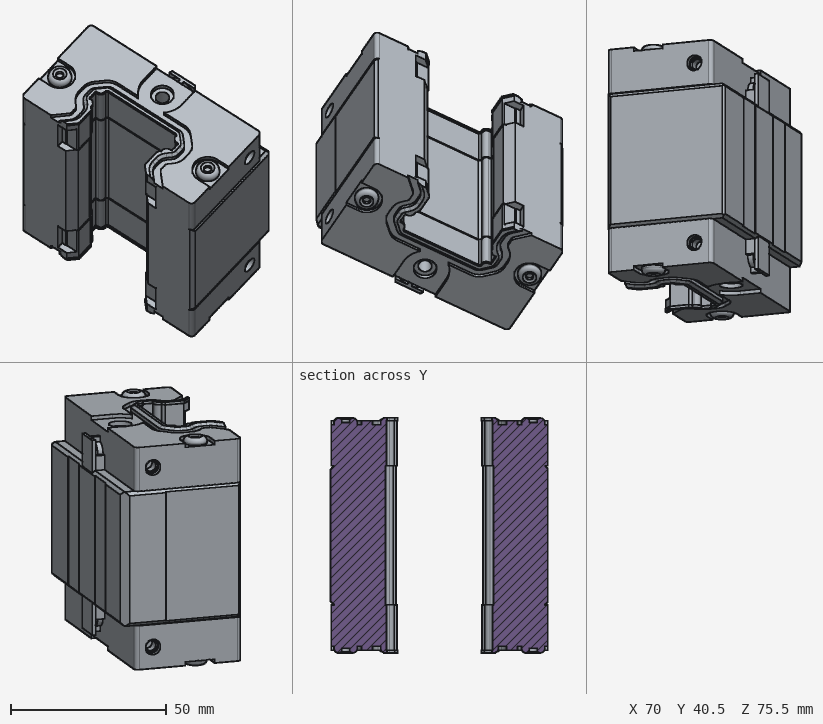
import cadquery as cq
import math


TOTAL_LENGTH = 75.5
TOTAL_WIDTH = 70.0
TOTAL_DEPTH = 40.5
OPEN_END = 4.5

BLOCK_HALF_LENGTH = 22.3
BLOCK_END_CHAMFER = 1.1
OPEN_CORNER_CHAMFER = 1.2
MOUNT_CORNER_CHAMFER = 2.4
PLAIN_CORNER_CHAMFER = 0.8
SIDE_RELIEF = 0.2
PAD_EDGE_Y = 25.7
MOUNT_GROOVE_NEAR = 7.7
MOUNT_GROOVE_FAR = 18.2
MOUNT_GROOVE_DEPTH = 0.2

CAP_WIDTH = 69.45
CAP_DEPTH = 36.1
CAP_TOP = 36.85
CAP_CORNER_RADIUS = 1.35
RECESS_FLOOR = 35.55

OPENING_TOP_Y = 18.35
OPENING_TOP_X = 13.75
BALL_LEVEL_Y = 14.05
GROOVE_X = 16.75
BEAD_RADIUS = 1.9
BEAD_CENTER_X = 16.15
BEAD_CENTER_RISE = 3.6
BEAD_FLANK_RISE = 4.0
LEG_X = 13.4
LEG_TOP_Y = 9.1
LEG_BOTTOM_Y = 2.65
BLOCK_CLEARANCE = 0.5
CAP_CLEARANCE = 0.2

LIP_TOP = (14.3, 19.5)
LIP_SIDE_X = 17.8
LIP_LEG_X = 14.6
LIP_SIDE_BOTTOM_Y = 12.2
LIP_LEG_BOTTOM_Y = 3.1
LIP_CORNER_RADIUS = 1.9
LIP_LEG_RADIUS = 4.9
LIP_BEVEL_WIDTH = 1.1
RECESS_MARGIN = 3.6

PORT_Y = 29.0
PORT_DIAMETER = 4.4
PORT_BORE_DIAMETER = 7.4
PORT_BORE_DEPTH = 1.5
PORT_DEPTH = 9.05
TONGUE_RADIUS = 7.85
SIDE_HOLE_Y = 30.0
SIDE_HOLE_Z = 29.75
SIDE_HOLE_MOUTH = 5.0
SIDE_HOLE_SEAT = 4.4
SIDE_HOLE_DIAMETER = 3.5
SIDE_HOLE_MOUTH_DEPTH = 2.0
SIDE_HOLE_SEAT_DEPTH = 0.45
SIDE_HOLE_DEPTH = 6.05
SCREW_X = 30.05
SCREW_POCKET_RADIUS = 5.0
SCREW_HEAD_DIAMETER = 7.6
SCREW_CROWN_DIAMETER = 4.4
SCREW_SOCKET_DIAMETER = 2.5
SCREW_CONE_DEPTH = 0.45
SCREW_SOCKET_DEPTH = 1.5

POCKET_TOP = 33.9
POCKET_INNER_X = 13.6
POCKET_STEP_START_X = 18.0
POCKET_STEP_END_X = 18.35
POCKET_OUTER_X = 19.85
POCKET_INNER_DEPTH = 2.35
POCKET_OUTER_DEPTH = 2.2

LUG_HALF_WIDTH = 5.1
LUG_CENTER_Z = 27.1
LUG_POST_RADIUS = 3.5
LUG_CONE_Y = 37.9
LUG_FLANGE_Y = 39.1
LUG_BACK_Y = 40.25
LUG_BACK_HALF_WIDTH = 4.7
LUG_RIB_WIDTH = 1.5


def box(x_range, y_range, z_range):
    """Box given by its limits along each axis."""
    size = [high - low for low, high in (x_range, y_range, z_range)]
    corner = (x_range[0], y_range[0], z_range[0])
    return cq.Workplane("XY").box(*size, centered=False).translate(corner)


def opening_wire(z):
    """Rail opening with convex beads that follow the ball grooves of the rail."""
    def upper(point):
        return point[0], BALL_LEVEL_Y + point[1]

    def lower(point):
        return point[0], BALL_LEVEL_Y - point[1]

    diagonal = BEAD_RADIUS * math.sqrt(0.5)
    bead_start = (BEAD_CENTER_X, BEAD_CENTER_RISE - BEAD_RADIUS)
    bead_middle = (BEAD_CENTER_X - diagonal, BEAD_CENTER_RISE - diagonal)
    bead_end = (BEAD_CENTER_X - BEAD_RADIUS, BEAD_CENTER_RISE)
    flank_end = (bead_end[0], BEAD_FLANK_RISE)
    groove = (GROOVE_X, BEAD_CENTER_RISE - BEAD_RADIUS)
    leg_foot = (LEG_X + LEG_BOTTOM_Y + OPEN_END, -OPEN_END)
    leg = [(LEG_X, LEG_BOTTOM_Y), (LEG_X, LEG_TOP_Y)]
    top = (OPENING_TOP_X, OPENING_TOP_Y)
    return (
        cq.Workplane("XY", origin=(0, 0, z))
        .moveTo(0, -OPEN_END)
        .lineTo(*leg_foot)
        .lineTo(*leg[0])
        .lineTo(*leg[1])
        .lineTo(*lower(flank_end))
        .lineTo(*lower(bead_end))
        .threePointArc(lower(bead_middle), lower(bead_start))
        .lineTo(*lower(groove))
        .lineTo(*upper(groove))
        .lineTo(*upper(bead_start))
        .threePointArc(upper(bead_middle), upper(bead_end))
        .lineTo(*upper(flank_end))
        .lineTo(*top)
        .lineTo(0, OPENING_TOP_Y)
        .mirrorY()
    )


def lip_wire(z):
    """Rounded crest line of the seal lip; all of its slanted sides run at 45 degrees."""
    leg_top_y = LIP_SIDE_BOTTOM_Y - (LIP_SIDE_X - LIP_LEG_X)
    half = [
        (LIP_LEG_X + LIP_LEG_BOTTOM_Y + OPEN_END, -OPEN_END),
        (LIP_LEG_X, LIP_LEG_BOTTOM_Y),
        (LIP_LEG_X, leg_top_y),
        (LIP_SIDE_X, LIP_SIDE_BOTTOM_Y),
        (LIP_SIDE_X, LIP_TOP[1] - (LIP_SIDE_X - LIP_TOP[0])),
        LIP_TOP,
    ]
    other_half = [(-x, y) for x, y in reversed(half)]
    prism = cq.Workplane("XY", origin=(0, 0, z)).polyline(half + other_half).close().extrude(-0.75)

    split_y = (leg_top_y + LIP_SIDE_BOTTOM_Y) / 2
    reach = TOTAL_LENGTH
    legs = cq.selectors.BoxSelector((-reach, 0, -reach), (reach, split_y, reach))
    corners = cq.selectors.BoxSelector((-reach, split_y, -reach), (reach, TOTAL_DEPTH, reach))
    prism = prism.edges("|Z").edges(legs).fillet(LIP_LEG_RADIUS)
    prism = prism.edges("|Z").edges(corners).fillet(LIP_CORNER_RADIUS)
    return prism.faces(">Z").wires().toPending()


def corner_wedge(side, face_y, size):
    """Wedge that bevels one long corner of the block, at face_y on the given side."""
    corner_x = side * TOTAL_WIDTH / 2
    into_block = size if face_y == 0 else -size
    return (
        cq.Workplane("XY", origin=(0, 0, -BLOCK_HALF_LENGTH))
        .polyline([(corner_x, face_y), (corner_x - side * size, face_y), (corner_x, face_y + into_block)])
        .close()
        .extrude(2 * BLOCK_HALF_LENGTH)
    )


def steel_block():
    half = TOTAL_WIDTH / 2
    along = (-BLOCK_HALF_LENGTH, BLOCK_HALF_LENGTH)
    block = box((-half, half), (0, TOTAL_DEPTH), along)
    block = block.edges("(|Y or >Y) and (>Z or <Z)").chamfer(BLOCK_END_CHAMFER)
    for side in (-1, 1):
        block = block.cut(corner_wedge(side, 0, OPEN_CORNER_CHAMFER))
    block = block.cut(corner_wedge(-1, TOTAL_DEPTH, MOUNT_CORNER_CHAMFER))
    block = block.cut(corner_wedge(1, TOTAL_DEPTH, PLAIN_CORNER_CHAMFER))
    block = block.cut(box((-half, -half + SIDE_RELIEF), (0, PAD_EDGE_Y), along))
    groove_y = (TOTAL_DEPTH - MOUNT_GROOVE_DEPTH, TOTAL_DEPTH)
    for groove_x in ((MOUNT_GROOVE_NEAR, MOUNT_GROOVE_FAR), (-MOUNT_GROOVE_FAR, -MOUNT_GROOVE_NEAR)):
        block = block.cut(box(groove_x, groove_y, along))
    opening = opening_wire(-BLOCK_HALF_LENGTH).offset2D(BLOCK_CLEARANCE, "intersection")
    return block.cut(opening.extrude(2 * BLOCK_HALF_LENGTH))


def seal_lip():
    """Raised lip standing in the recess, bevelled up to its crest."""
    bevel_height = TOTAL_LENGTH / 2 - CAP_TOP
    bevel_angle = math.degrees(math.atan2(LIP_BEVEL_WIDTH, bevel_height))
    bevel = lip_wire(TOTAL_LENGTH / 2).extrude(-bevel_height, taper=-bevel_angle, combine=False)
    foot_wire = lip_wire(RECESS_FLOOR).offset2D(LIP_BEVEL_WIDTH)
    foot = foot_wire.extrude(CAP_TOP - RECESS_FLOOR, combine=False)
    in_front = box((-TOTAL_WIDTH, TOTAL_WIDTH), (-2 * TOTAL_DEPTH, 0), (0, TOTAL_LENGTH))
    return foot.union(bevel).cut(in_front)


def end_recess():
    """Recess around the lip with a round-ended tongue that reaches the back of the cap."""
    floor = cq.Workplane("XY", origin=(0, 0, RECESS_FLOOR))
    depth = CAP_TOP - RECESS_FLOOR
    around_lip = lip_wire(RECESS_FLOOR).offset2D(RECESS_MARGIN).extrude(depth, combine=False)
    tongue_end = floor.center(0, PORT_Y).circle(TONGUE_RADIUS).extrude(depth)
    tongue = box((-TONGUE_RADIUS, TONGUE_RADIUS), (PORT_Y, CAP_DEPTH), (RECESS_FLOOR, CAP_TOP))
    return around_lip.union(tongue_end).union(tongue)


def grease_port():
    floor = cq.Workplane("XY", origin=(0, PORT_Y, RECESS_FLOOR))
    bore = floor.circle(PORT_BORE_DIAMETER / 2).extrude(-PORT_BORE_DEPTH)
    return bore.union(floor.circle(PORT_DIAMETER / 2).extrude(-PORT_DEPTH))


def screw_pocket(side):
    floor = cq.Workplane("XY", origin=(side * SCREW_X, BALL_LEVEL_Y, RECESS_FLOOR))
    depth = CAP_TOP - RECESS_FLOOR
    run_out = CAP_WIDTH / 2 - SCREW_X
    slot = floor.center(side * run_out / 2, 0).rect(run_out, 2 * SCREW_POCKET_RADIUS).extrude(depth)
    return slot.union(floor.circle(SCREW_POCKET_RADIUS).extrude(depth))


def screw_head(side):
    """Button head screw with a countersunk socket, turned about its own axis."""
    rim = SCREW_HEAD_DIAMETER / 2
    crown = SCREW_CROWN_DIAMETER / 2
    socket = SCREW_SOCKET_DIAMETER / 2
    height = TOTAL_LENGTH / 2 - RECESS_FLOOR
    round_radius = rim - crown
    rim_height = height - round_radius
    diagonal = round_radius * math.sqrt(0.5)
    middle = (crown + diagonal, rim_height + diagonal)
    return (
        cq.Workplane("XZ")
        .moveTo(0, 0)
        .lineTo(rim, 0)
        .lineTo(rim, rim_height)
        .threePointArc(middle, (crown, height))
        .lineTo(socket, height - SCREW_CONE_DEPTH)
        .lineTo(socket, height - SCREW_SOCKET_DEPTH)
        .lineTo(0, height - SCREW_SOCKET_DEPTH)
        .close()
        .revolve(360, (0, 0, 0), (0, 1, 0))
        .translate((side * SCREW_X, BALL_LEVEL_Y, RECESS_FLOOR))
    )


def side_hole(side):
    seat_bottom = SIDE_HOLE_MOUTH_DEPTH + SIDE_HOLE_SEAT_DEPTH
    profile = [
        (0, 0),
        (0, SIDE_HOLE_MOUTH / 2),
        (SIDE_HOLE_MOUTH_DEPTH, SIDE_HOLE_MOUTH / 2),
        (SIDE_HOLE_MOUTH_DEPTH, SIDE_HOLE_SEAT / 2),
        (seat_bottom, SIDE_HOLE_DIAMETER / 2),
        (SIDE_HOLE_DEPTH, SIDE_HOLE_DIAMETER / 2),
        (SIDE_HOLE_DEPTH, 0),
    ]
    face_x = side * CAP_WIDTH / 2
    return (
        cq.Workplane("XY", origin=(face_x, SIDE_HOLE_Y, SIDE_HOLE_Z))
        .polyline([(-side * depth, radius) for depth, radius in profile])
        .close()
        .revolve(360, (0, 0, 0), (1, 0, 0))
    )


def latch_pocket(side):
    """Shallow pocket whose floor has a small slanted step."""
    profile = [
        (POCKET_INNER_X, 0),
        (POCKET_INNER_X, POCKET_INNER_DEPTH),
        (POCKET_STEP_START_X, POCKET_INNER_DEPTH),
        (POCKET_STEP_END_X, POCKET_OUTER_DEPTH),
        (POCKET_OUTER_X, POCKET_OUTER_DEPTH),
        (POCKET_OUTER_X, 0),
    ]
    return (
        cq.Workplane("XY", origin=(0, 0, BLOCK_HALF_LENGTH))
        .polyline([(side * x, y) for x, y in profile])
        .close()
        .extrude(POCKET_TOP - BLOCK_HALF_LENGTH)
    )


def lug():
    """Hooked lug: a solid root, then a post and cone under a bevelled flange."""
    root_z = BLOCK_HALF_LENGTH - BLOCK_END_CHAMFER
    tip_z = LUG_CENTER_Z + LUG_HALF_WIDTH
    width = (-LUG_HALF_WIDTH, LUG_HALF_WIDTH)
    flange = (
        cq.Workplane("XY", origin=(0, 0, root_z))
        .polyline([
            (-LUG_HALF_WIDTH, LUG_FLANGE_Y),
            (LUG_HALF_WIDTH, LUG_FLANGE_Y),
            (LUG_BACK_HALF_WIDTH, LUG_BACK_Y),
            (-LUG_BACK_HALF_WIDTH, LUG_BACK_Y),
        ])
        .close()
        .extrude(tip_z - root_z)
    )
    root = box(width, (CAP_DEPTH, LUG_FLANGE_Y), (root_z, LUG_CENTER_Z))
    post_and_cone = (
        cq.Workplane("XY")
        .polyline([
            (0, CAP_DEPTH),
            (LUG_POST_RADIUS, CAP_DEPTH),
            (LUG_POST_RADIUS, LUG_CONE_Y),
            (LUG_HALF_WIDTH, LUG_FLANGE_Y),
            (0, LUG_FLANGE_Y),
        ])
        .close()
        .revolve(360, (0, 0, 0), (0, 1, 0))
        .translate((0, 0, LUG_CENTER_Z))
    )
    rib_x = (-LUG_RIB_WIDTH / 2, LUG_RIB_WIDTH / 2)
    rib = box(rib_x, (CAP_DEPTH, LUG_BACK_Y), (LUG_CENTER_Z, tip_z))
    return flange.union(root).union(post_and_cone).union(rib)


def end_cap():
    cap = box((-CAP_WIDTH / 2, CAP_WIDTH / 2), (0, CAP_DEPTH), (BLOCK_HALF_LENGTH, CAP_TOP))
    cap = cap.edges("|Z").fillet(CAP_CORNER_RADIUS)
    cap = cap.cut(end_recess()).union(seal_lip()).cut(grease_port())
    seal_opening = opening_wire(CAP_TOP).extrude(TOTAL_LENGTH / 2 - CAP_TOP)
    cap_opening = opening_wire(BLOCK_HALF_LENGTH).offset2D(CAP_CLEARANCE, "intersection")
    cap = cap.cut(seal_opening).cut(cap_opening.extrude(CAP_TOP - BLOCK_HALF_LENGTH))
    for side in (-1, 1):
        cap = cap.cut(screw_pocket(side)).union(screw_head(side))
        cap = cap.cut(side_hole(side)).cut(latch_pocket(side))
    return cap.union(lug())


upper_cap = end_cap()
lower_cap = upper_cap.mirror("XY")
carriage = steel_block().union(upper_cap).union(lower_cap).clean()
result = carriage.solids()